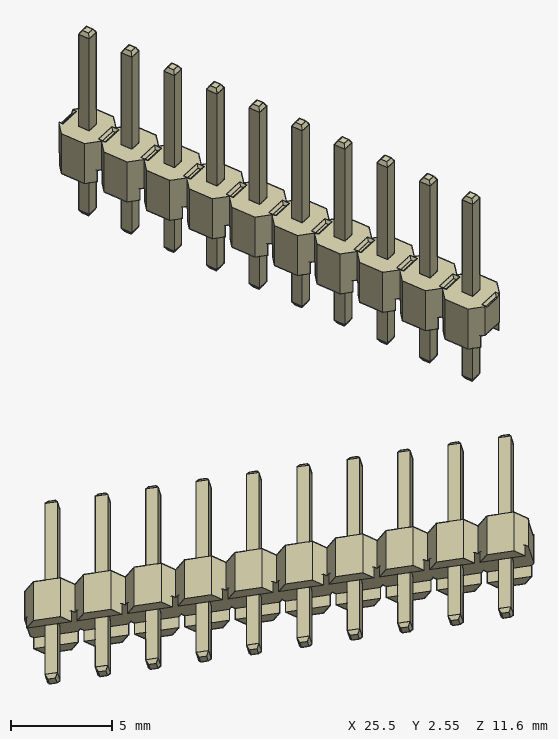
import cadquery as cq

pin_count = 10
pitch = 2.55
row_length = pin_count * pitch

body_width = 2.55
body_height = 2.55
corner_x = 0.58
corner_y = 0.64

channel_width = 1.57
channel_height = 0.7

pocket_length_x = 0.43
pocket_length_y = 1.17
pocket_floor_x = 0.15
pocket_floor_y = 0.91
pocket_depth = 0.15

pin_side = 0.64
pin_below = 3.0
pin_above = 6.07
tip_height = 0.23
tip_inset = 0.13
tip_side = pin_side - 2 * tip_inset


def frustum(x, z_start, start_size, z_end, end_size):
    """Solid tapering between two centred rectangles at two heights."""
    return (
        cq.Workplane("XY", origin=(x, 0, z_start))
        .rect(*start_size)
        .workplane(offset=z_end - z_start)
        .rect(*end_size)
        .loft()
    )


def block(x):
    """Octagonal body block centred at x, standing on z = 0."""
    half_x = pitch / 2
    half_y = body_width / 2
    flat_x = half_x - corner_x
    flat_y = half_y - corner_y
    outline = [
        (-flat_x, -half_y),
        (flat_x, -half_y),
        (half_x, -flat_y),
        (half_x, flat_y),
        (flat_x, half_y),
        (-flat_x, half_y),
        (-half_x, flat_y),
        (-half_x, -flat_y),
    ]
    return cq.Workplane("XY", origin=(x, 0, 0)).polyline(outline).close().extrude(body_height)


def pocket(x):
    """Cutter for the pocket centred at x, narrowing down to its floor."""
    return frustum(
        x,
        body_height,
        (pocket_length_x, pocket_length_y),
        body_height - pocket_depth,
        (pocket_floor_x, pocket_floor_y),
    )


def pin(x):
    """Square pin centred at x with a tapered tip at each end."""
    bottom = -pin_below
    top = body_height + pin_above
    shaft_bottom = bottom + tip_height
    shaft_top = top - tip_height
    shaft_size = (pin_side, pin_side)
    tip_size = (tip_side, tip_side)
    shaft = (
        cq.Workplane("XY", origin=(x, 0, shaft_bottom))
        .rect(*shaft_size)
        .extrude(shaft_top - shaft_bottom)
    )
    lower_tip = frustum(x, shaft_bottom, shaft_size, bottom, tip_size)
    upper_tip = frustum(x, shaft_top, shaft_size, top, tip_size)
    return shaft.union(lower_tip).union(upper_tip)


first_pin_x = (pitch - row_length) / 2
pin_positions = [first_pin_x + i * pitch for i in range(pin_count)]
joint_positions = [-row_length / 2 + i * pitch for i in range(pin_count + 1)]

body = block(pin_positions[0])
for x in pin_positions[1:]:
    body = body.union(block(x))

channel = cq.Workplane("XY").box(
    row_length, channel_width, channel_height, centered=(True, True, False)
)
body = body.cut(channel)

for x in joint_positions:
    body = body.cut(pocket(x))

result = body
for x in pin_positions:
    result = result.union(pin(x))